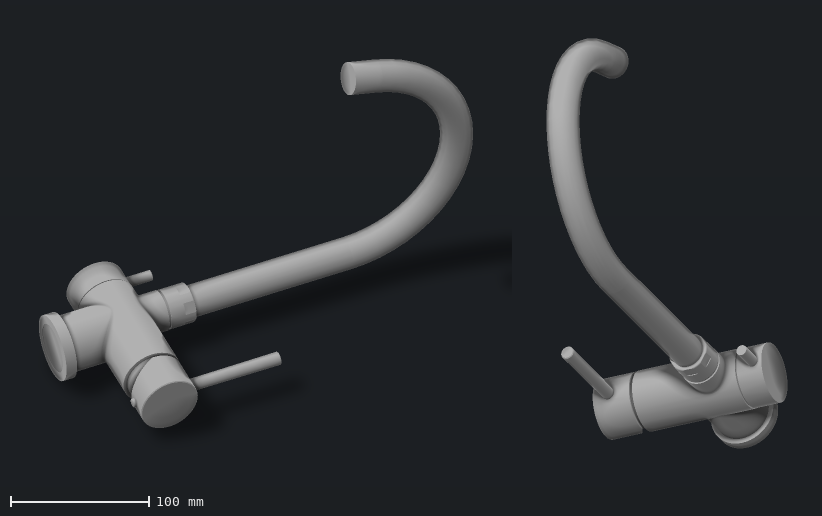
import cadquery as cq
import math


BARREL_RADIUS = 22.5
BARREL_START = 21.0
BARREL_END = 103.3
INLET_X = 47.3
INLET_RADIUS = 21.3
FLANGE_RADIUS = 25.0
FLANGE_THICKNESS = 8.3
FLANGE_FACE_Y = -54.0
FLANGE_RECESS_RADIUS = 18.3
FLANGE_RECESS_DEPTH = 0.3
SPOUT_X = 43.3
NECK_RADIUS = 15.3
NECK_END_Y = 33.5
JUNCTION_FILLET = 1.5

CARTRIDGE_RADIUS = 19.5
CARTRIDGE_TIP_RADIUS = 17.3
CARTRIDGE_TAPER_START = 107.0
CARTRIDGE_TIP_X = 118.3

KNOB_RADIUS = 22.3
KNOB_LENGTH = 20.0
KNOB_NECK_RADIUS = 21.3
KNOB_PIN_X = 7.0
KNOB_PIN_RADIUS = 4.0
KNOB_PIN_END_Y = 41.3

CAP_RADIUS = 22.3
CAP_START = 106.0
CAP_END = 135.3
CAP_EDGE_CHAMFER = 0.5
RELIEF_START_Y = -1.0
RELIEF_WIDTH = 10.5
LEVER_X = 122.5
LEVER_END_Y = 92.0
LEVER_TIP_RADIUS = 5.0
LEVER_BASE_RADIUS = 4.5
LEVER_TIP_CHAMFER = 0.5
SCREW_RADIUS = 3.3
SCREW_HEIGHT = 2.0
SCREW_FILLET = 1.0

TUBE_RADIUS = 12.0
BEND_RADIUS = 87.0
BEND_START_Y = 180.3
BEND_ANGLE = 165
OUTLET_LENGTH = 22.0
NOZZLE_LENGTH = 19.0
COLLAR_RADIUS = 15.0
COLLAR_START_Y = 35.5
COLLAR_END_Y = 55.3
COLLAR_FILLET = 1.0
COLLAR_NECK_RADIUS = 14.0
FLAT_COUNT = 6
FLAT_LENGTH = 8.5
FLAT_DISTANCE = 14.3


def rod_x(radius, start, end):
    """Cylinder on the housing axis."""
    return cq.Workplane("YZ", origin=(start, 0, 0)).circle(radius).extrude(end - start)


def rod_y(radius, x, start, end):
    """Cylinder along Y through the housing's mid-plane."""
    return cq.Workplane("XZ", origin=(x, start, 0)).circle(radius).extrude(start - end)


def cartridge():
    """Stub with a tapered tip that the handle fits over."""
    profile = [
        (BARREL_END, 0),
        (BARREL_END, CARTRIDGE_RADIUS),
        (CARTRIDGE_TAPER_START, CARTRIDGE_RADIUS),
        (CARTRIDGE_TIP_X, CARTRIDGE_TIP_RADIUS),
        (CARTRIDGE_TIP_X, 0),
    ]
    return cq.Workplane("XY").polyline(profile).close().revolve(360, (0, 0, 0), (1, 0, 0))


def make_housing():
    barrel = rod_x(BARREL_RADIUS, BARREL_START, BARREL_END)
    inlet = rod_y(INLET_RADIUS, INLET_X, FLANGE_FACE_Y, 0)
    neck = rod_y(NECK_RADIUS, SPOUT_X, 0, NECK_END_Y)
    body = barrel.union(inlet).union(neck)

    junctions = cq.selectors.BoxSelector(
        (BARREL_START + JUNCTION_FILLET, -BARREL_RADIUS, -BARREL_RADIUS),
        (BARREL_END - JUNCTION_FILLET, BARREL_RADIUS, BARREL_RADIUS),
    )
    body = body.edges(junctions).edges("not |X").fillet(JUNCTION_FILLET)

    flange = rod_y(FLANGE_RADIUS, INLET_X, FLANGE_FACE_Y, FLANGE_FACE_Y + FLANGE_THICKNESS)
    recess = rod_y(FLANGE_RECESS_RADIUS, INLET_X, FLANGE_FACE_Y, FLANGE_FACE_Y + FLANGE_RECESS_DEPTH)
    return body.union(flange).cut(recess).union(cartridge())


def make_knob():
    knob = rod_x(KNOB_RADIUS, 0, KNOB_LENGTH)
    neck = rod_x(KNOB_NECK_RADIUS, 0, BARREL_START)
    pin = rod_y(KNOB_PIN_RADIUS, KNOB_PIN_X, 0, KNOB_PIN_END_Y)
    return knob.union(neck).union(pin)


def make_handle():
    cap = rod_x(CAP_RADIUS, CAP_START, CAP_END).faces(">X").chamfer(CAP_EDGE_CHAMFER)

    relief = (
        cq.Workplane("XY")
        .moveTo(CAP_START, RELIEF_START_Y)
        .lineTo(CAP_START + RELIEF_WIDTH, -CAP_RADIUS)
        .lineTo(CAP_START, -CAP_RADIUS)
        .close()
        .extrude(CAP_RADIUS, both=True)
    )
    cap = cap.cut(relief).cut(cartridge())

    lever_start = CARTRIDGE_RADIUS
    lever = (
        cq.Workplane("XZ", origin=(LEVER_X, lever_start, 0))
        .circle(LEVER_BASE_RADIUS)
        .workplane(offset=lever_start - LEVER_END_Y)
        .circle(LEVER_TIP_RADIUS)
        .loft()
    )
    lever = lever.faces(">Y").chamfer(LEVER_TIP_CHAMFER)
    screw = rod_y(SCREW_RADIUS, LEVER_X, -CAP_RADIUS - SCREW_HEIGHT, -CARTRIDGE_RADIUS)
    screw = screw.faces("<Y").edges().fillet(SCREW_FILLET)
    return cap.union(lever).union(screw)


def make_collar():
    """Collar at the foot of the spout with flats around its outer end."""
    collar = rod_y(COLLAR_RADIUS, SPOUT_X, COLLAR_START_Y, COLLAR_END_Y)
    collar = collar.faces(">Y").edges().fillet(COLLAR_FILLET)
    flat = cq.Workplane("XY").box(
        2 * COLLAR_RADIUS, FLAT_LENGTH, COLLAR_RADIUS, centered=(True, False, False)
    )
    flat = flat.translate((SPOUT_X, COLLAR_END_Y - FLAT_LENGTH, FLAT_DISTANCE))
    for index in range(FLAT_COUNT):
        angle = index * 360 / FLAT_COUNT
        collar = collar.cut(flat.rotate((SPOUT_X, 0, 0), (SPOUT_X, 1, 0), angle))
    return collar.union(rod_y(COLLAR_NECK_RADIUS, SPOUT_X, NECK_END_Y, COLLAR_START_Y))


def make_spout():
    """Tube that runs straight, bends back over itself and ends in a nozzle."""

    def bend_point(degrees):
        turn = math.radians(degrees)
        return (
            BEND_START_Y + BEND_RADIUS * math.sin(turn),
            BEND_RADIUS * (1 - math.cos(turn)),
        )

    def outlet_point(distance):
        turn = math.radians(BEND_ANGLE)
        y, z = bend_point(BEND_ANGLE)
        return (y + distance * math.cos(turn), z + distance * math.sin(turn))

    nozzle_start = outlet_point(OUTLET_LENGTH - NOZZLE_LENGTH)
    path = (
        cq.Workplane("YZ", origin=(SPOUT_X, 0, 0))
        .moveTo(NECK_END_Y, 0)
        .lineTo(BEND_START_Y, 0)
        .threePointArc(bend_point(BEND_ANGLE / 2), bend_point(BEND_ANGLE))
        .lineTo(*nozzle_start)
        .lineTo(*outlet_point(OUTLET_LENGTH))
    )
    section = cq.Workplane("XZ", origin=(SPOUT_X, NECK_END_Y, 0)).circle(TUBE_RADIUS)
    tube = section.sweep(path, clean=False)
    return tube.union(make_collar(), clean=False)


housing = make_housing()
knob = make_knob()
handle = make_handle()
spout = make_spout()

bodies = [housing, knob, handle, spout]
result = cq.Compound.makeCompound([body.solids().val() for body in bodies])